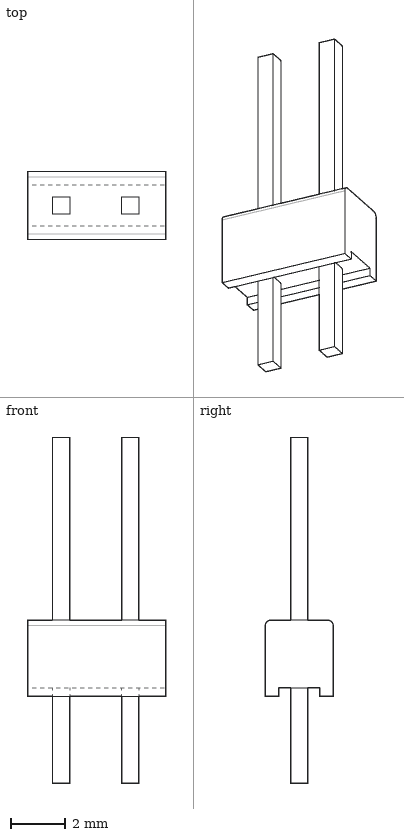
import cadquery as cq

total_height = 12.7
pin_count = 2
pitch = 2.54
pin_width = 0.64
pin_row_shift = -0.04

housing_length = pin_count * pitch
housing_depth = 2.5
housing_bottom = 3.2
housing_height = 2.8
housing_top = housing_bottom + housing_height
edge_radius = 0.2

channel_width = 1.5
channel_depth = 0.3
channel_roof = housing_bottom + channel_depth


def make_housing():
    """Solid block with rounded long top edges and a channel underneath."""
    block = (
        cq.Workplane("XY", origin=(0, 0, housing_bottom))
        .box(housing_length, housing_depth, housing_height, centered=(True, True, False))
        .faces(">Z")
        .edges("|X")
        .fillet(edge_radius)
    )
    channel = cq.Workplane("XY", origin=(0, 0, housing_bottom)).box(
        housing_length, channel_width, channel_depth, centered=(True, True, False)
    )
    return block.cut(channel)


def make_pin(x, bottom, top):
    """Square pin centred at x on the housing's long axis, from bottom to top."""
    return cq.Workplane("XY", origin=(x, 0, bottom)).rect(pin_width, pin_width).extrude(top - bottom)


housing = make_housing()

upper_pins = []
lower_pins = []
for index in range(pin_count):
    pin_x = (index - (pin_count - 1) / 2) * pitch + pin_row_shift
    upper_pins.append(make_pin(pin_x, housing_top, total_height).val())
    lower_pins.append(make_pin(pin_x, 0, channel_roof).val())

result = cq.Compound.makeCompound([housing.val(), *upper_pins, *lower_pins])